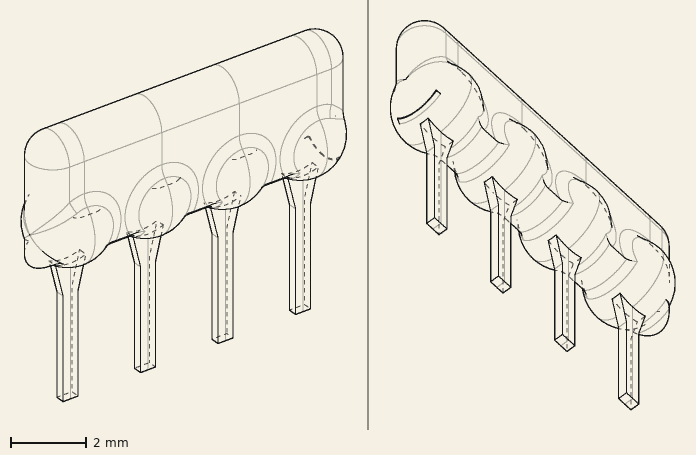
import cadquery as cq
LENGTH = 10.11
HEIGHT = 8.38
THICKNESS = 1.51
BEAD_DIAMETER = 2.48
BEAD_COUNT = 4
TOP_Z = 2.95
BOTTOM_Z = -0.95
BOTTOM_RADIUS = 1.0
BLEND_RADIUS = 0.51

LEAD_THICKNESS = 0.28
LEAD_WIDTH = 0.5
LEAD_SHOULDER_WIDTH = 1.03
SHOULDER_TOP_Z = -1.06
SHOULDER_BOTTOM_Z = -2.16

BEAD_RADIUS = BEAD_DIAMETER / 2
HALF_THICKNESS = THICKNESS / 2
PITCH = (LENGTH - BEAD_DIAMETER) / (BEAD_COUNT - 1)
FIRST_BEAD_Y = -(LENGTH - BEAD_DIAMETER) / 2
ROUND_TOP_Z = TOP_Z - HALF_THICKNESS
BOTTOM_EDGE_Z = BOTTOM_Z + BOTTOM_RADIUS - (BOTTOM_RADIUS**2 - HALF_THICKNESS**2) ** 0.5
LEAD_END_Z = TOP_Z - HEIGHT
TOLERANCE = 0.0001


def slab(length):
    """Plate from Y = 0 to `length` with flat sides and a curved bottom, up to the round top."""
    return (
        cq.Workplane("XZ")
        .moveTo(-HALF_THICKNESS, BOTTOM_EDGE_Z)
        .threePointArc((0, BOTTOM_Z), (HALF_THICKNESS, BOTTOM_EDGE_Z))
        .lineTo(HALF_THICKNESS, ROUND_TOP_Z)
        .lineTo(-HALF_THICKNESS, ROUND_TOP_Z)
        .close()
        .extrude(-length)
    )


def round_top(length):
    """Half-round top edge of the plate from Y = 0 to `length`."""
    return (
        cq.Workplane("XZ", origin=(0, 0, ROUND_TOP_Z))
        .moveTo(-HALF_THICKNESS, 0)
        .threePointArc((0, HALF_THICKNESS), (HALF_THICKNESS, 0))
        .close()
        .extrude(-length)
    )


def end_plate():
    """Plate from a bead centre to a half-cylinder end touching the bead, capped by a quarter ball."""
    straight = BEAD_RADIUS - HALF_THICKNESS
    end_column = cq.Workplane("XY").center(0, straight).circle(HALF_THICKNESS).extrude(HEIGHT, both=True)
    outline = cq.Workplane("XY").rect(THICKNESS, 2 * straight).extrude(HEIGHT, both=True).union(end_column)
    corner_ball = (
        cq.Workplane("XY")
        .sphere(HALF_THICKNESS, angle1=0, angle3=180)
        .translate((0, straight, ROUND_TOP_Z))
    )
    return slab(BEAD_DIAMETER).intersect(outline).union(round_top(straight)).union(corner_ball)


def half_bead():
    """Half ball on the +Y side of its centre."""
    return (
        cq.Workplane("XZ")
        .moveTo(0, -BEAD_RADIUS)
        .threePointArc((BEAD_RADIUS, 0), (0, BEAD_RADIUS))
        .close()
        .revolve(180, (0, 0), (0, 1))
    )


def half_lead():
    """Half of a flat lead on the +Y side, with a tapered shoulder under the bead."""
    return (
        cq.Workplane("YZ")
        .lineTo(LEAD_SHOULDER_WIDTH / 2, 0)
        .lineTo(LEAD_SHOULDER_WIDTH / 2, SHOULDER_TOP_Z)
        .lineTo(LEAD_WIDTH / 2, SHOULDER_BOTTOM_Z)
        .lineTo(LEAD_WIDTH / 2, LEAD_END_Z)
        .lineTo(0, LEAD_END_Z)
        .close()
        .extrude(LEAD_THICKNESS / 2, both=True)
    )


def is_blended(edge):
    """True for seams of plate and bead, except the low ones at a round end and those of the lead."""
    middle = edge.positionAt(0.5)
    on_bead = abs(middle.Length - BEAD_RADIUS) < TOLERANCE and middle.y > TOLERANCE
    height = edge.Center().z
    return on_bead and (height > 0 or BOTTOM_Z < height < BOTTOM_EDGE_Z)


def add_half_bead(plate):
    """Join a half bead and half lead to the plate at Y = 0 and blend the concave seams."""
    joined = plate.union(half_bead()).union(half_lead())
    seams = [edge for edge in joined.edges().vals() if is_blended(edge)]
    return joined.newObject(seams).fillet(BLEND_RADIUS)


def span():
    """Stretch of the part between two neighbouring bead centres."""
    plate = slab(PITCH).union(round_top(PITCH))
    one_sided = add_half_bead(plate)
    return add_half_bead(one_sided.mirror("XZ").translate((0, PITCH, 0)))


def without_lower_corner(end_half):
    """Round end whose plate stops at the bead below the bead centre."""
    corner_depth = (BEAD_RADIUS**2 - BOTTOM_Z**2) ** 0.5
    corner = (
        cq.Workplane("XY")
        .box(BEAD_DIAMETER, BEAD_DIAMETER, BEAD_DIAMETER, centered=(True, False, False))
        .translate((0, corner_depth, -BEAD_DIAMETER))
    )
    return end_half.cut(corner).union(half_bead())


span_piece = span()
end_piece = add_half_bead(end_plate())

pieces = [end_piece.mirror("XZ").translate((0, FIRST_BEAD_Y, 0))]
for index in range(BEAD_COUNT - 1):
    pieces.append(span_piece.translate((0, FIRST_BEAD_Y + index * PITCH, 0)))
pieces.append(without_lower_corner(end_piece).translate((0, -FIRST_BEAD_Y, 0)))

result = pieces[0]
for piece in pieces[1:]:
    result = result.union(piece, clean=False, glue=True)